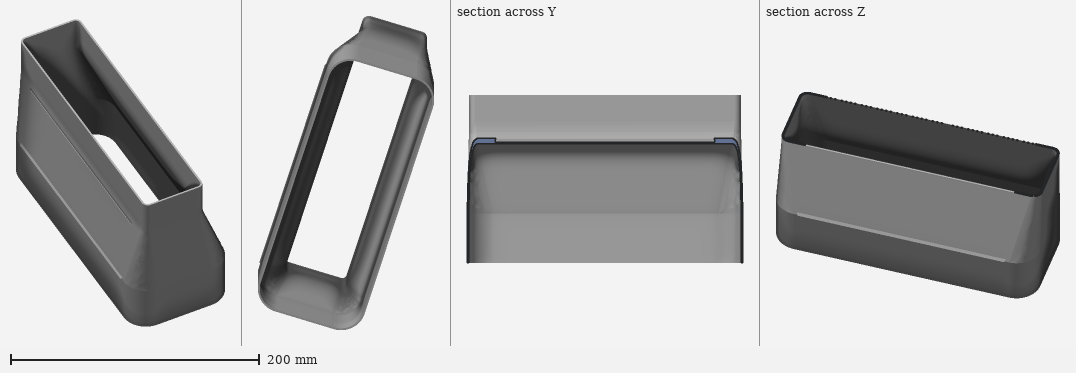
import cadquery as cq
import math

body_length = 222.0
body_depth = 89.2
body_height = 40.0
body_corner_radius = 20.0

neck_length = 219.0
neck_depth = 54.2
neck_center_y = -8.0
neck_corner_radius = 5.3
neck_base_z = 105.0
total_height = 135.0

wall = 1.5

blend_radius = 50.0
blend_root_depth = 0.7
blend_end_angle = math.radians(60)
blend_corner_steps = 3
blend_fade = 0.95

strip_length = 176.3
rib_projection = 0.9
rib_height = 2.0
notch_bottom_z = 97.2
notch_top_z = 100.1


def body_size(inset):
    """Length, depth, corner radius and centre Y of the socket outline moved inward by inset."""
    return body_length - 2 * inset, body_depth - 2 * inset, body_corner_radius - inset, 0


def neck_size(inset):
    """Length, depth, corner radius and centre Y of the neck outline moved inward by inset."""
    return neck_length - 2 * inset, neck_depth - 2 * inset, neck_corner_radius - inset, neck_center_y


def rounded_section(size, z):
    length, depth, corner_radius, center_y = size
    outline = cq.Sketch().rect(length, depth).vertices().fillet(corner_radius)
    return outline.moved(cq.Location(cq.Vector(0, center_y, z)))


def corner_point(size, z, side, angle):
    """Point on the +X corner arc; angle runs from the long face (0) toward the end face."""
    length, depth, corner_radius, center_y = size
    x = length / 2 - corner_radius + corner_radius * math.sin(angle)
    y = depth / 2 - corner_radius + corner_radius * math.cos(angle)
    return cq.Vector(x, center_y + side * y, z)


def blend_section(side, inset, angle, radius, mirrored):
    """Closed wire holding the arc tangent to the neck wall and the sloping wall."""
    kink = corner_point(neck_size(inset), neck_base_z, side, angle)
    foot = corner_point(body_size(inset), body_height, side, angle)
    outward = cq.Vector(math.sin(angle), side * math.cos(angle), 0)
    face_slope = math.atan2((foot - kink).dot(outward), neck_base_z - body_height)
    tangent_length = radius * math.tan(face_slope / 2)
    if mirrored:
        kink, foot = (cq.Vector(-point.x, point.y, point.z) for point in (kink, foot))

    up = cq.Vector(0, 0, 1)
    down = (foot - kink).normalized()
    bulge = (up + down).normalized()
    half_turn = (math.pi - up.getAngle(down)) / 2
    arc_radius = tangent_length / math.tan(half_turn)
    upper = kink + up * tangent_length
    middle = kink + bulge * (arc_radius / math.cos(half_turn) - arc_radius)
    lower = kink + down * tangent_length
    root = kink - bulge * blend_root_depth
    return cq.Wire.assembleEdges([
        cq.Edge.makeTangentArc(upper, up * -1, middle),
        cq.Edge.makeTangentArc(middle, down - up, lower),
        cq.Edge.makeLine(lower, root),
        cq.Edge.makeLine(root, upper),
    ])


def neck_blend(side, inset):
    """Concave blend along one long face, fading out round both corners."""
    left_sections = []
    right_sections = []
    for step in range(blend_corner_steps + 1):
        fraction = step / blend_corner_steps
        angle = fraction * blend_end_angle
        radius = (blend_radius + inset) * (1 - fraction * blend_fade)
        left_sections.append(blend_section(side, inset, angle, radius, True))
        right_sections.append(blend_section(side, inset, angle, radius, False))
    return cq.Workplane(cq.Solid.makeLoft(left_sections[::-1] + right_sections, True))


def duct_solid(inset):
    """Solid filling the duct's outer surface moved inward by inset."""
    body = cq.Workplane("XY").placeSketch(rounded_section(body_size(inset), 0)).extrude(body_height)
    body_top = rounded_section(body_size(inset), body_height)
    neck_base = rounded_section(neck_size(inset), neck_base_z)
    transition = cq.Workplane("XY").placeSketch(body_top, neck_base).loft(ruled=True)
    neck = cq.Workplane("XY").placeSketch(neck_base).extrude(total_height - neck_base_z)
    solid = body.union(transition).union(neck)
    for side in (-1, 1):
        solid = solid.union(neck_blend(side, inset))
    return solid


def slope_y(side, z):
    """Y of the sloping outer face on the +Y (side=1) or -Y (side=-1) side."""
    foot_y = side * body_depth / 2
    top_y = neck_center_y + side * neck_depth / 2
    rise = (z - body_height) / (neck_base_z - body_height)
    return foot_y + (top_y - foot_y) * rise


def strip(profile):
    """Prism of a YZ profile, centred along X."""
    return cq.Workplane("YZ").polyline(profile).close().extrude(strip_length / 2, both=True)


def rib(side):
    """Triangular rib with a flat underside and mitred ends."""
    foot_y = slope_y(side, body_height)
    tip_y = foot_y + side * rib_projection
    root_z = body_height + rib_height
    root_y = slope_y(side, root_z)
    inner_y = root_y - side * wall / 2
    bar = strip([(tip_y, body_height), (root_y, root_z), (inner_y, root_z), (inner_y, body_height)])

    half_length = strip_length / 2
    half_tip_length = half_length - rib_projection
    plan = [
        (-half_length, inner_y),
        (half_length, inner_y),
        (half_length, foot_y),
        (half_tip_length, tip_y),
        (-half_tip_length, tip_y),
        (-half_length, foot_y),
    ]
    mitred_block = cq.Workplane("XY", origin=(0, 0, body_height)).polyline(plan).close().extrude(rib_height)
    return bar.intersect(mitred_block)


def notch(side):
    """Wedge cut leaving an upright back wall and a level ledge in the slope."""
    back_y = slope_y(side, notch_top_z)
    lip_y = slope_y(side, notch_bottom_z)
    return strip([(back_y, notch_top_z), (back_y, notch_bottom_z), (lip_y, notch_bottom_z)])


duct = duct_solid(0)
for side in (-1, 1):
    duct = duct.union(rib(side)).cut(notch(side))

result = duct.cut(duct_solid(wall))